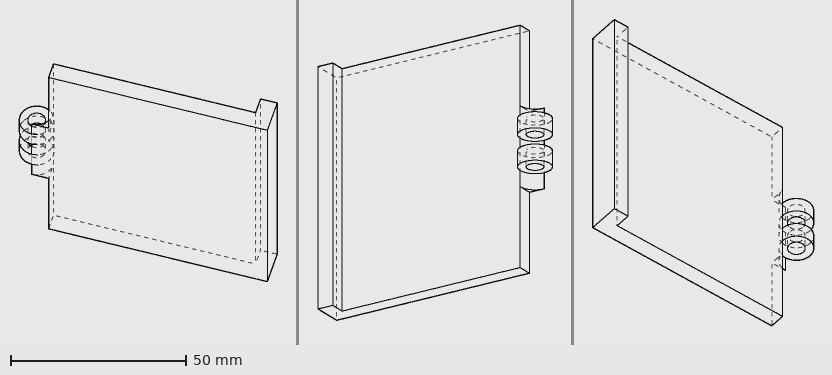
import cadquery as cq

length = 75.1
height = 75.0
knuckle_diameter = 10.0
pin_diameter = 5.0
knuckle_count = 2
hinge_slots = 5

knuckle_radius = knuckle_diameter / 2
thickness = knuckle_radius
hinge_bottom = height / 3
hinge_height = height / 3
slot_height = hinge_height / hinge_slots


def block(x_start, x_end, y_end, z_start, z_size):
    """Box whose front face lies on Y = 0."""
    return cq.Workplane("XY").box(x_end - x_start, y_end, z_size, centered=False).translate(
        (x_start, 0, z_start)
    )


def hinge_cylinder(diameter, z_start, z_size):
    """Cylinder around the hinge axis."""
    return (
        cq.Workplane("XY", origin=(knuckle_radius, knuckle_radius, z_start))
        .circle(diameter / 2)
        .extrude(z_size)
    )


leaf = block(knuckle_diameter, length, thickness, 0, height)
lip = block(length - thickness, length, knuckle_diameter, 0, height)

tab = block(knuckle_radius, knuckle_diameter, thickness, hinge_bottom, hinge_height)
tab = tab.cut(hinge_cylinder(knuckle_diameter, hinge_bottom, hinge_height))

result = leaf.union(lip).union(tab)

for index in range(knuckle_count):
    knuckle_bottom = hinge_bottom + (2 * index + 1) * slot_height
    result = result.union(hinge_cylinder(knuckle_diameter, knuckle_bottom, slot_height))
result = result.cut(hinge_cylinder(pin_diameter, hinge_bottom, hinge_height))